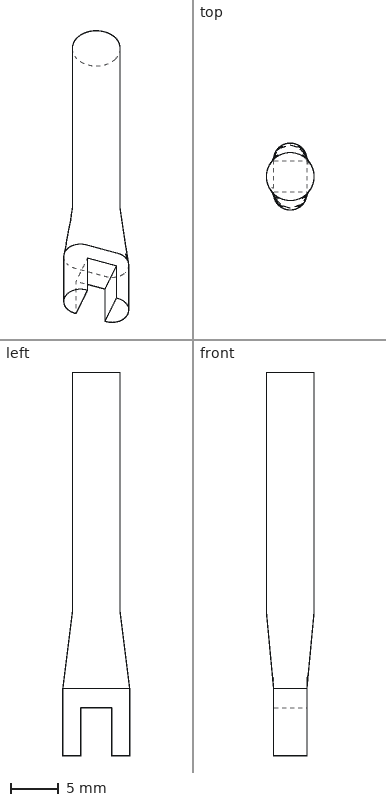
import cadquery as cq
import math

SHAFT_DIAMETER = 5.0
SHAFT_LENGTH = 25.0
TAPER_LENGTH = 8.0
TIP_LENGTH_Y = 7.0
TIP_WIDTH_X = 3.5
BRIDGE_HEIGHT = 2.0
PRONG_LENGTH = 5.0
PRONG_GAP = 3.2

TAPER_BOTTOM_Z = PRONG_LENGTH + BRIDGE_HEIGHT
SHAFT_BOTTOM_Z = TAPER_BOTTOM_Z + TAPER_LENGTH

SHAFT_RADIUS = SHAFT_DIAMETER / 2

END_RADIUS = TIP_WIDTH_X / 2
HALF_FLANK = TIP_LENGTH_Y / 2 - END_RADIUS
END_ARC_LENGTH = math.pi * END_RADIUS
HALF_OUTLINE_LENGTH = 2 * HALF_FLANK + END_ARC_LENGTH

CURVE_STEPS = 60

LONG_SIDE_ALONG_Y = 90


def half_tip_point(distance):
    """Point on the -Y half of the tip outline, measured from the middle of the -X flank."""
    along_arc = distance - HALF_FLANK
    if along_arc < 0:
        return (-END_RADIUS, -distance)
    if along_arc > END_ARC_LENGTH:
        return (END_RADIUS, distance - HALF_OUTLINE_LENGTH)
    angle = along_arc / END_RADIUS
    return (-END_RADIUS * math.cos(angle), -HALF_FLANK - END_RADIUS * math.sin(angle))


def round_outline(z):
    """Shaft circle at height z, as two half circles meeting at -X and +X."""
    return (
        cq.Workplane("XY", origin=(0, 0, z))
        .moveTo(-SHAFT_RADIUS, 0)
        .threePointArc((0, -SHAFT_RADIUS), (SHAFT_RADIUS, 0))
        .threePointArc((0, SHAFT_RADIUS), (-SHAFT_RADIUS, 0))
        .close()
    )


def smooth_tip_outline(z):
    """Tip outline at height z, as two smooth curves meeting at the middles of the flanks."""
    step = HALF_OUTLINE_LENGTH / CURVE_STEPS
    front_half = [half_tip_point(i * step) for i in range(CURVE_STEPS + 1)]
    back_half = [(-x, -y) for x, y in front_half]
    toward_minus_y = (0, -1)
    toward_plus_y = (0, 1)
    return (
        cq.Workplane("XY", origin=(0, 0, z))
        .spline(front_half, tangents=[toward_minus_y, toward_plus_y])
        .spline(back_half, tangents=[toward_plus_y, toward_minus_y])
        .close()
    )


def make_handle():
    """Round shaft that tapers down into the tip outline."""
    shaft = round_outline(SHAFT_BOTTOM_Z).extrude(SHAFT_LENGTH)
    taper_ends = [smooth_tip_outline(TAPER_BOTTOM_Z).val(), round_outline(SHAFT_BOTTOM_Z).val()]
    taper = cq.Workplane(cq.Solid.makeLoft(taper_ends, ruled=True))
    return shaft.union(taper)


def tip_block(z, height):
    """Full tip outline extruded upward from height z."""
    outline = cq.Workplane("XY", origin=(0, 0, z)).slot2D(TIP_LENGTH_Y, TIP_WIDTH_X, LONG_SIDE_ALONG_Y)
    return outline.extrude(height)


def make_fork():
    """Bridge with two prongs hanging below it; the joint lines at the bridge bottom are kept."""
    bridge = tip_block(PRONG_LENGTH, BRIDGE_HEIGHT)
    gap = cq.Workplane("XY").box(TIP_WIDTH_X, PRONG_GAP, PRONG_LENGTH, centered=(True, True, False))
    prongs = tip_block(0, PRONG_LENGTH).cut(gap)
    return bridge.union(prongs, clean=False)


handle = make_handle()
fork = make_fork()

result = cq.Compound.makeCompound([handle.val(), fork.val()])